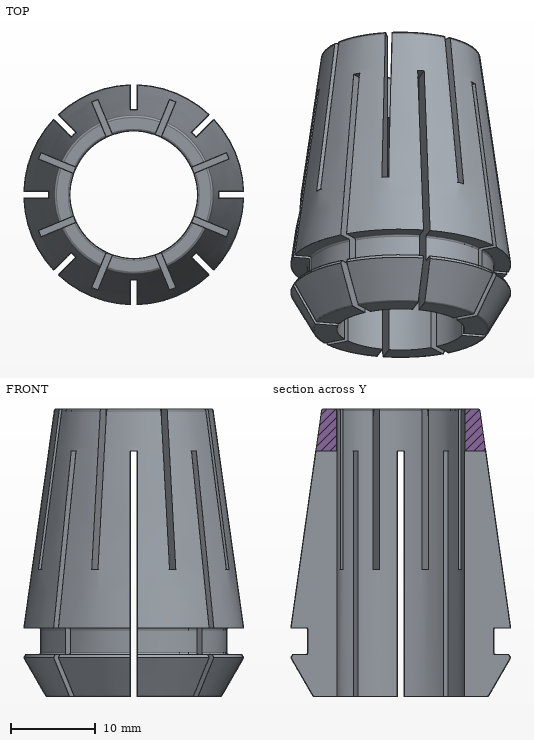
import cadquery as cq
import math

total_height = 34.0
max_radius = 13.0
bore_radius = 15.08 / 2

nose_angle = 30.0
nose_rim_height = 4.6
groove_bottom = 5.0
nose_rim_chamfer = 0.25
nose_tip_fillet = 0.2
nose_tip_radius = max_radius - nose_rim_height * math.tan(math.radians(nose_angle))

groove_radius = 11.0
groove_top = 8.1
groove_corner_fillet = 0.2

taper_angle = 8.0
taper_top_radius = max_radius - (total_height - groove_top) * math.tan(math.radians(taper_angle))
top_edge_fillet = 0.25
bore_edge_fillet = 0.2

slot_width = 0.8
slots_per_set = 8
slot_pitch = 360.0 / slots_per_set
bottom_slot_end = 29.0
top_slot_end = 15.0

radius_tolerance = 0.001


def circles_of_radius(body, radius):
    """All circular edges of the body that have the given radius."""
    return body.edges("%CIRCLE").filter(lambda edge: abs(edge.radius() - radius) < radius_tolerance)


def collet_body():
    """Revolve the half section about Z, then round the rims and the groove corners."""
    section = [
        (bore_radius, 0),
        (nose_tip_radius, 0),
        (max_radius, nose_rim_height),
        (max_radius - nose_rim_chamfer, groove_bottom),
        (groove_radius, groove_bottom),
        (groove_radius, groove_top),
        (max_radius, groove_top),
        (taper_top_radius, total_height),
        (bore_radius, total_height),
    ]
    body = cq.Workplane("XZ").polyline(section).close().revolve(360, (0, 0, 0), (0, 1, 0))
    body = circles_of_radius(body, groove_radius).fillet(groove_corner_fillet)
    body = circles_of_radius(body, nose_tip_radius).fillet(nose_tip_fillet)
    body = circles_of_radius(body, taper_top_radius).fillet(top_edge_fillet)
    return circles_of_radius(body, bore_radius).edges(">Z").fillet(bore_edge_fillet)


def slot_set(first_angle, low, high):
    """Radial slots through the wall between two heights, evenly spaced around Z.

    Each cutter is centred on the largest radius and is as long as that radius,
    so it starts inside the bore and ends outside the part.
    """
    slots = cq.Workplane("XY")
    for i in range(slots_per_set):
        slot = (
            cq.Workplane("XY", origin=(0, 0, low))
            .rect(max_radius, slot_width)
            .extrude(high - low)
            .translate((max_radius, 0, 0))
            .rotate((0, 0, 0), (0, 0, 1), first_angle + i * slot_pitch)
        )
        slots = slots.add(slot)
    return slots.combine()


bottom_slots = slot_set(0, 0, bottom_slot_end)
top_slots = slot_set(slot_pitch / 2, top_slot_end, total_height)
result = collet_body().cut(bottom_slots).cut(top_slots)